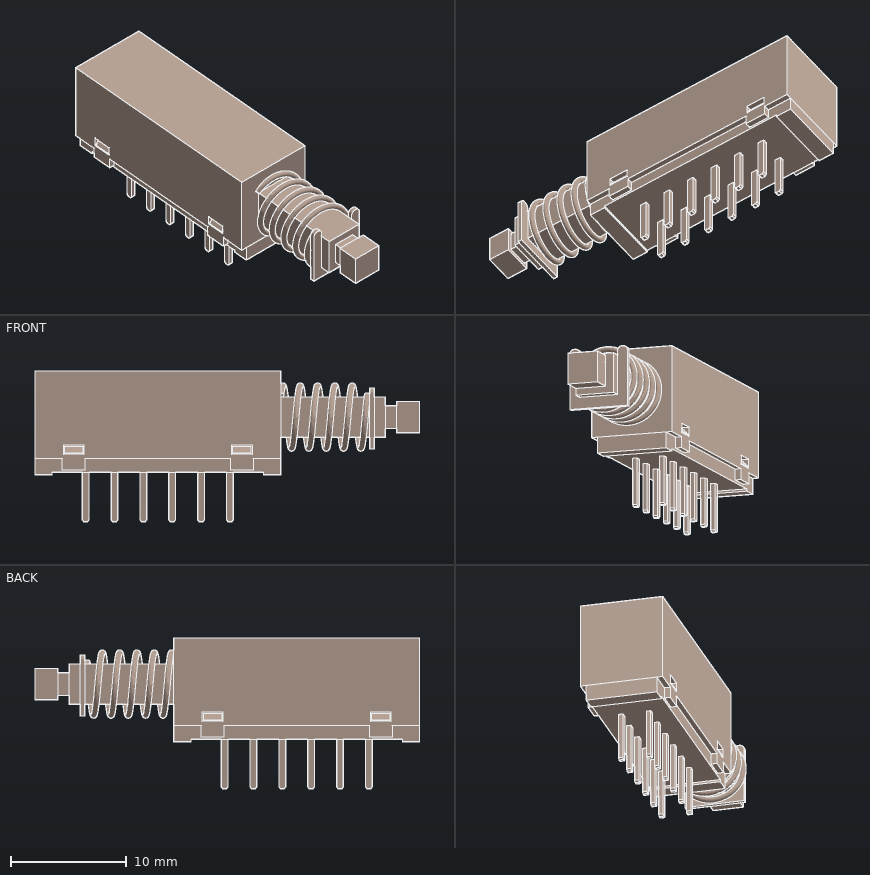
import cadquery as cq
import math

cover_length = 21.2
cover_width = 7.4
cover_top = 13.0
cover_bottom = 5.45
tab_thickness = 0.53

tab_width = 2.0
tab_bottom = 4.48
tab_end_distance = 3.35
window_width = 1.8
window_bottom = 5.85
window_top = 6.65
hook_width = 1.6
hook_bottom = 5.95
hook_top = 6.47
riser_inset = 0.15

base_bottom = 4.25
foot_bottom = 4.05
foot_length = 1.5
base_width = cover_width - 2 * tab_thickness

pin_count = 6
pin_pitch = 2.5
pin_width = 0.6
pin_thickness = 0.4
pin_tip_inset = 0.13
pin_tip_height = 0.15

axis_z = 9.03
plunger_size = 3.5
plunger_end = 30.25
neck_size = 2.0
cap_size = 2.72
cap_start = 31.2
overall_length = 33.2

clip_start = 28.9
clip_thickness = 0.4
clip_width = 5.3
clip_rise = 2.52
clip_drop = 2.75
clip_round = 0.4

wire_diameter = 0.53
spring_outer_diameter = 5.9
spring_pitch = 1.5
spring_turns = 5
spring_start_angle = 45.0

tab_centres = [tab_end_distance, cover_length - tab_end_distance]


def block(x0, x1, width, z0, z1):
    """Box from x0 to x1 and z0 to z1, centred on Y = 0."""
    return (
        cq.Workplane("XY")
        .box(x1 - x0, width, z1 - z0, centered=(False, True, False))
        .translate((x0, 0, z0))
    )


def centred_block(x_centre, length, width, z0, z1):
    return block(x_centre - length / 2, x_centre + length / 2, width, z0, z1)


def make_riser(x_centre):
    """Crossbar of the base that carries a pair of hooks behind the windows."""
    riser_width = base_width - 2 * riser_inset
    return centred_block(x_centre, window_width, riser_width, cover_bottom, window_top)


def make_hooks(x_centre):
    """Pair of wedges, sloped on top and flat below, one on each long side."""
    tip_y = cover_width / 2
    root_y = base_width / 2
    return (
        cq.Workplane("YZ")
        .polyline([
            (-tip_y, hook_bottom),
            (tip_y, hook_bottom),
            (root_y, hook_top),
            (-root_y, hook_top),
        ])
        .close()
        .extrude(hook_width / 2, both=True)
        .translate((x_centre, 0, 0))
    )


def make_plunger():
    """Square stem, thinner neck and square cap in a row along X."""
    stem = block(cover_length, plunger_end, plunger_size,
                 axis_z - plunger_size / 2, axis_z + plunger_size / 2)
    neck = block(plunger_end, cap_start, neck_size,
                 axis_z - neck_size / 2, axis_z + neck_size / 2)
    cap = block(cap_start, overall_length, cap_size,
                axis_z - cap_size / 2, axis_z + cap_size / 2)
    return stem.union(neck).union(cap)


def make_clip():
    """U-shaped plate that straddles the stem, with rounded prong ends."""
    plate = block(clip_start, clip_start + clip_thickness, clip_width,
                  axis_z - clip_drop, axis_z + clip_rise)
    slot = block(clip_start, clip_start + clip_thickness, plunger_size,
                 axis_z - plunger_size / 2, axis_z + clip_rise)
    return plate.cut(slot).edges("|X and >Z").fillet(clip_round)


def make_spring():
    """Round wire swept along a helix about the plunger axis."""
    coil_radius = (spring_outer_diameter - wire_diameter) / 2
    helix = cq.Wire.makeHelix(spring_pitch, spring_pitch * spring_turns, coil_radius, lefthand=True)
    lead_angle = math.atan2(spring_pitch, 2 * math.pi * coil_radius)
    wire_start = cq.Plane(
        origin=(coil_radius, 0, 0),
        xDir=(1, 0, 0),
        normal=(0, -math.cos(lead_angle), math.sin(lead_angle)),
    )
    coil = (
        cq.Workplane(wire_start)
        .circle(wire_diameter / 2)
        .sweep(cq.Workplane("XY").add(helix), isFrenet=True)
    )
    return (
        coil.rotate((0, 0, 0), (0, 1, 0), 90)
        .rotate((0, 0, 0), (1, 0, 0), -90 - spring_start_angle)
        .translate((cover_length, 0, axis_z))
    )


def make_cover():
    """Cover with its snap tabs, joined to the plunger, clip and spring."""
    body = block(0, cover_length, cover_width, cover_bottom, cover_top)
    for x in tab_centres:
        tabs = centred_block(x, tab_width, cover_width, tab_bottom, cover_bottom)
        gap = centred_block(x, tab_width, base_width, tab_bottom, cover_bottom)
        windows = centred_block(x, window_width, cover_width, window_bottom, window_top)
        body = body.union(tabs.cut(gap)).cut(windows).cut(make_riser(x))
    return body.union(make_plunger()).union(make_clip()).union(make_spring())


def make_pin(x, y):
    """Flat pin whose lower end is chamfered on its two narrow sides."""
    half = pin_width / 2
    tip = half - pin_tip_inset
    return (
        cq.Workplane("XZ")
        .polyline([
            (-half, base_bottom),
            (-half, pin_tip_height),
            (-tip, 0),
            (tip, 0),
            (half, pin_tip_height),
            (half, base_bottom),
        ])
        .close()
        .extrude(pin_thickness / 2, both=True)
        .translate((x, y, 0))
    )


def make_base():
    """Base with end feet, snap hooks and both rows of pins."""
    body = block(0, cover_length, base_width, base_bottom, cover_bottom)
    body = body.union(block(0, foot_length, base_width, foot_bottom, base_bottom))
    body = body.union(
        block(cover_length - foot_length, cover_length, base_width, foot_bottom, base_bottom))
    for x in tab_centres:
        body = body.union(make_riser(x)).union(make_hooks(x))
    for i in range(pin_count):
        x = cover_length / 2 + (i - (pin_count - 1) / 2) * pin_pitch
        for y in (-pin_pitch / 2, pin_pitch / 2):
            body = body.union(make_pin(x, y))
    return body


cover = make_cover()
base = make_base()
result = cq.Compound.makeCompound([cover.solids().val(), base.solids().val()])